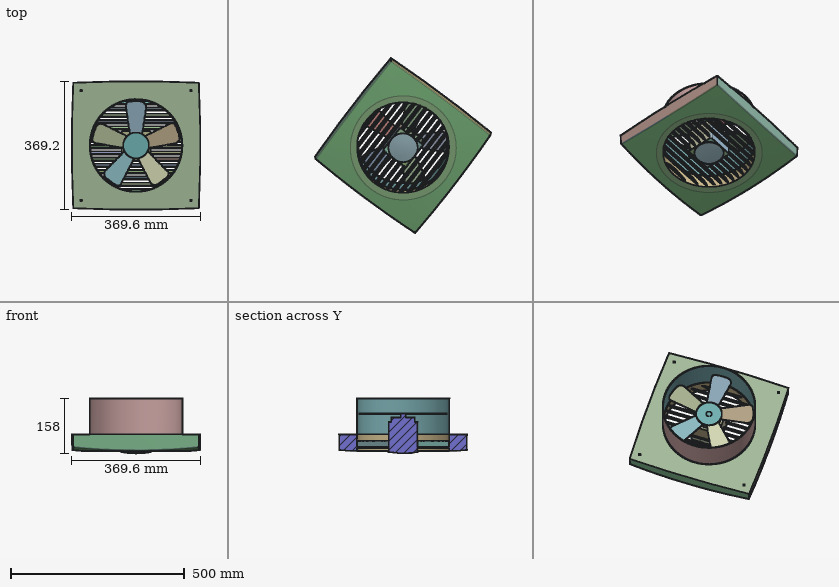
import cadquery as cq
import math


SIZE_X = 369.6
SIZE_Y = 369.2
SIDE_BOW = 4.2
SIDE_DRAFT = 1.6
FASCIA_RADIUS = 1730.0
FASCIA_APEX = -54.6
FASCIA_BOTTOM = -47.9
FASCIA_FILLET = 1.5
MOUNT_HOLE_SPACING = 315.0
MOUNT_HOLE_DIAMETER = 5.0
MOUNT_HOLE_DEPTH = 3.5

DUCT_HEIGHT = 103.4
DUCT_RADIUS = 133.5
DUCT_WALL = 2.0
DUCT_BORE = DUCT_RADIUS - DUCT_WALL
OPENING_STEP = 0.3
OPENING_RADIUS = DUCT_BORE + OPENING_STEP

SLAT_PITCH = 18.0
SLAT_COUNT = 15
SLAT_OFFSET_Y = -3.6
SLAT_EDGE = 3.2
SLAT_LEAN = 7.4
SLAT_TOP = -18.0
SLAT_BOTTOM = -39.9

MOTOR_SIDE = 83.4
MOTOR_TOP = 36.0
MOTOR_FILLET = 5.0
COLLAR_RADIUS = 34.0
COLLAR_TOP = 49.0
SHAFT_RADIUS = 8.0
CAP_RADIUS = 42.0
CAP_RIM = -50.6
CAP_BOTTOM = -54.6

FAN_TOP = 60.7
HUB_RADIUS = 37.1
HUB_THICKNESS = 3.0
HUB_STEP = 0.2
BLADE_COUNT = 5
BLADE_THICKNESS = 2.2
BLADE_ROOT = 30.0
BLADE_TIP = 127.0
BLADE_ROOT_HALF_WIDTH = 17.2
BLADE_TIP_HALF_WIDTH = 31.3
BLADE_LEADING_FILLET = 10.0
BLADE_TRAILING_FILLET = 16.0


def cylinder(radius, bottom, top):
    return cq.Workplane("XY").workplane(offset=bottom).circle(radius).extrude(top - bottom)


def make_housing():
    """Bowed, drafted block with a flattened spherical fascia, bored through for the air flow."""
    mid_x = SIZE_X / 2
    mid_y = SIZE_Y / 2
    corner_x = mid_x - SIDE_BOW
    corner_y = mid_y - SIDE_BOW
    block = (
        cq.Workplane("XY")
        .moveTo(-corner_x, -corner_y)
        .threePointArc((0, -mid_y), (corner_x, -corner_y))
        .threePointArc((mid_x, 0), (corner_x, corner_y))
        .threePointArc((0, mid_y), (-corner_x, corner_y))
        .threePointArc((-mid_x, 0), (-corner_x, -corner_y))
        .close()
        .extrude(FASCIA_BOTTOM, taper=SIDE_DRAFT)
    )
    fascia = cq.Workplane("XY").sphere(FASCIA_RADIUS).translate((0, 0, FASCIA_APEX + FASCIA_RADIUS))
    housing = block.intersect(fascia)
    housing = housing.faces("%SPHERE").edges("not %CIRCLE").fillet(FASCIA_FILLET)
    housing = housing.cut(cylinder(OPENING_RADIUS, FASCIA_BOTTOM, 0))
    mount_holes = (
        cq.Workplane("XY")
        .rect(MOUNT_HOLE_SPACING, MOUNT_HOLE_SPACING, forConstruction=True)
        .vertices()
        .circle(MOUNT_HOLE_DIAMETER / 2)
        .extrude(-MOUNT_HOLE_DEPTH)
    )
    return housing.cut(mount_holes)


def make_duct():
    return cylinder(DUCT_RADIUS, 0, DUCT_HEIGHT).cut(cylinder(DUCT_BORE, 0, DUCT_HEIGHT))


def make_slats():
    """Sloping slats along X, with ends sunk into the wall of the air opening."""
    slats = cq.Workplane("XY")
    length = 2 * DUCT_RADIUS
    for index in range(SLAT_COUNT):
        centre = SLAT_OFFSET_Y + (index - SLAT_COUNT // 2) * SLAT_PITCH
        low = centre - (SLAT_EDGE + SLAT_LEAN) / 2
        slat = (
            cq.Workplane("YZ")
            .moveTo(low, SLAT_TOP)
            .lineTo(low + SLAT_EDGE, SLAT_TOP)
            .lineTo(low + SLAT_EDGE + SLAT_LEAN, SLAT_BOTTOM)
            .lineTo(low + SLAT_LEAN, SLAT_BOTTOM)
            .close()
            .extrude(length / 2, both=True)
        )
        slats = slats.add(slat)
    return slats.combine().intersect(cylinder(DUCT_RADIUS, SLAT_BOTTOM, SLAT_TOP))


def make_motor():
    """Square motor body with a round collar and shaft above and a domed cap below."""
    body = (
        cq.Workplane("XY")
        .workplane(offset=FASCIA_BOTTOM)
        .rect(MOTOR_SIDE, MOTOR_SIDE)
        .extrude(MOTOR_TOP - FASCIA_BOTTOM)
        .edges("|Z")
        .fillet(MOTOR_FILLET)
    )
    dome_drop = CAP_RIM - CAP_BOTTOM
    dome_radius = (CAP_RADIUS**2 + dome_drop**2) / (2 * dome_drop)
    dome = cq.Workplane("XY").sphere(dome_radius).translate((0, 0, CAP_BOTTOM + dome_radius))
    cap = cylinder(CAP_RADIUS, CAP_BOTTOM, FASCIA_BOTTOM).intersect(dome)
    collar = cylinder(COLLAR_RADIUS, MOTOR_TOP, COLLAR_TOP)
    shaft = cylinder(SHAFT_RADIUS, COLLAR_TOP, FAN_TOP)
    return body.union(cap).union(collar).union(shaft)


def make_blade():
    """One flat blade pointing along +Y, widening to a rounded tip."""
    shoulder = math.sqrt(BLADE_TIP**2 - BLADE_TIP_HALF_WIDTH**2)
    blade = (
        cq.Workplane("XY")
        .workplane(offset=FAN_TOP - BLADE_THICKNESS)
        .moveTo(-BLADE_ROOT_HALF_WIDTH, BLADE_ROOT)
        .lineTo(BLADE_ROOT_HALF_WIDTH, BLADE_ROOT)
        .lineTo(BLADE_TIP_HALF_WIDTH, shoulder)
        .threePointArc((0, BLADE_TIP), (-BLADE_TIP_HALF_WIDTH, shoulder))
        .close()
        .extrude(BLADE_THICKNESS)
    )
    blade = blade.edges("|Z and >X").fillet(BLADE_TRAILING_FILLET)
    return blade.edges("|Z and <X").fillet(BLADE_LEADING_FILLET)


def make_fan():
    fan = cylinder(HUB_RADIUS, FAN_TOP - HUB_THICKNESS, FAN_TOP + HUB_STEP)
    blade = make_blade()
    for index in range(BLADE_COUNT):
        fan = fan.union(blade.rotate((0, 0, 0), (0, 0, 1), index * 360 / BLADE_COUNT))
    return fan


result = (
    make_housing()
    .union(make_duct())
    .union(make_slats())
    .union(make_motor())
    .union(make_fan())
)